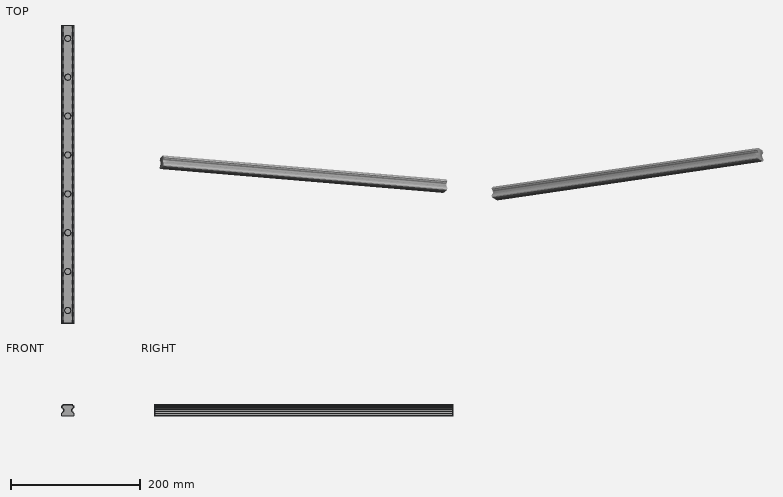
import cadquery as cq

rail_width = 20.0
rail_length = 460.0
rail_height = 17.5
half_width = rail_width / 2

bottom_half_width = 9.2
base_chamfer_height = 1.2
base_side_top = 3.6

waist_half_width = 6.25
waist_bottom = 7.8
waist_top = 10.0
lower_blend_width = 0.4
lower_blend_height = 0.6
upper_blend_width = 0.7
upper_blend_height = 0.9
blend_sagitta = 0.1

lower_groove_inner = (8.2, 12.1)
lower_groove_outer = (9.6, 13.4)
lower_groove_sagitta = 0.3

head_side_bottom = 13.7
head_side_top = 14.9

upper_groove_outer = (9.6, 15.2)
upper_groove_inner = (7.5, 17.3)
upper_groove_sagitta = 0.5

hole_count = 8
hole_pitch = 60.0
cap_diameter = 9.5
cap_recess_depth = 0.2


def rail_bar():
    """Extrude the symmetric rail section along Y, centred on the origin in X and Y."""
    lower_blend_start = (waist_half_width + lower_blend_width, waist_bottom - lower_blend_height)
    upper_blend_end = (waist_half_width + upper_blend_width, waist_top + upper_blend_height)
    section = (
        cq.Workplane("XZ")
        .lineTo(bottom_half_width, 0)
        .lineTo(half_width, base_chamfer_height)
        .lineTo(half_width, base_side_top)
        .lineTo(*lower_blend_start)
        .sagittaArc((waist_half_width, waist_bottom), blend_sagitta)
        .lineTo(waist_half_width, waist_top)
        .sagittaArc(upper_blend_end, blend_sagitta)
        .lineTo(*lower_groove_inner)
        .sagittaArc(lower_groove_outer, lower_groove_sagitta)
        .lineTo(half_width, head_side_bottom)
        .lineTo(half_width, head_side_top)
        .lineTo(*upper_groove_outer)
        .sagittaArc(upper_groove_inner, upper_groove_sagitta)
        .lineTo(upper_groove_inner[0], rail_height)
        .lineTo(0, rail_height)
        .mirrorY()
    )
    return section.extrude(rail_length / 2, both=True)


def cap_recesses():
    """Shallow discs cut into the top face, one above each capped mounting hole."""
    first_hole = -hole_pitch * (hole_count - 1) / 2
    centers = [(0, first_hole + i * hole_pitch) for i in range(hole_count)]
    top_plane = cq.Workplane("XY", origin=(0, 0, rail_height))
    return top_plane.pushPoints(centers).circle(cap_diameter / 2).extrude(-cap_recess_depth)


result = rail_bar().cut(cap_recesses())